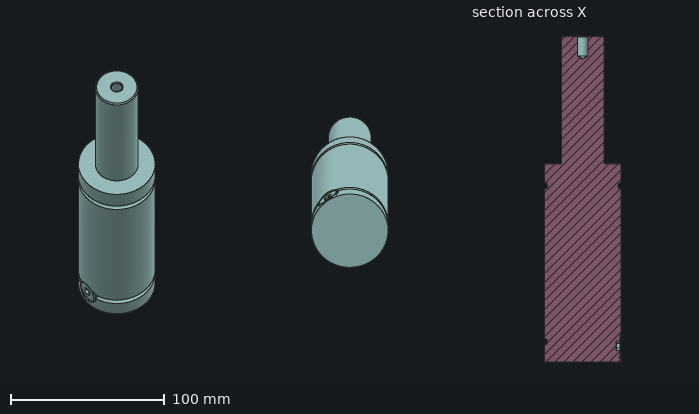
import cadquery as cq
import math

total_height = 212.0
body_diameter = 50.0
body_height = 129.1
rod_diameter = 28.0
rod_chamfer = 0.8

groove_radius = 2.0
groove_heights = (13.1, 114.7)

rod_hole_diameter = 6.8
rod_hole_mouth_diameter = 8.0
rod_hole_depth = 12.7
drill_point_angle = 118

port_height = 10.5
port_diameter = 16.0
plug_face_diameter = 14.0
plug_recess = 0.6
plug_chamfer = (port_diameter - plug_face_diameter) / 2
plug_length = 6.4
hex_across_flats = 5.0
hex_depth = 2.5

body_radius = body_diameter / 2


def make_body():
    body = cq.Workplane("XY").circle(body_radius).extrude(body_height)
    for height in groove_heights:
        ring = cq.Solid.makeTorus(body_radius, groove_radius, cq.Vector(0, 0, height))
        body = body.cut(cq.Workplane(obj=ring))
    return body


def make_rod():
    rod = cq.Workplane("XY").circle(rod_diameter / 2).extrude(total_height)
    return rod.faces(">Z").chamfer(rod_chamfer)


def make_rod_hole():
    mouth_chamfer = (rod_hole_mouth_diameter - rod_hole_diameter) / 2
    hole_radius = rod_hole_diameter / 2
    point_depth = hole_radius / math.tan(math.radians(drill_point_angle / 2))
    hole_bottom = total_height - rod_hole_depth
    return (
        cq.Workplane("XZ")
        .moveTo(0, total_height)
        .lineTo(rod_hole_mouth_diameter / 2, total_height)
        .lineTo(hole_radius, total_height - mouth_chamfer)
        .lineTo(hole_radius, hole_bottom)
        .lineTo(0, hole_bottom - point_depth)
        .close()
        .revolve(360, (0, 0, 0), (0, 1, 0))
    )


def port_cylinder(face_position, length):
    """Solid disc of the port bore, reaching inward (+Y) from face_position."""
    face = cq.Workplane("XZ", origin=(0, face_position, port_height))
    return face.circle(port_diameter / 2).extrude(-length)


def make_plug():
    face_position = plug_recess - body_radius
    plug = port_cylinder(face_position, plug_length).faces("<Y").chamfer(plug_chamfer)
    hex_across_corners = hex_across_flats / math.cos(math.radians(30))
    socket = (
        cq.Workplane("XZ", origin=(0, face_position, port_height))
        .transformed(rotate=(0, 0, 90))
        .polygon(6, hex_across_corners)
        .extrude(-hex_depth)
    )
    return plug.cut(socket)


port_bore = port_cylinder(-body_radius, plug_recess + plug_length)
body_with_port = make_body().cut(port_bore).union(make_plug())
result = body_with_port.union(make_rod()).cut(make_rod_hole())